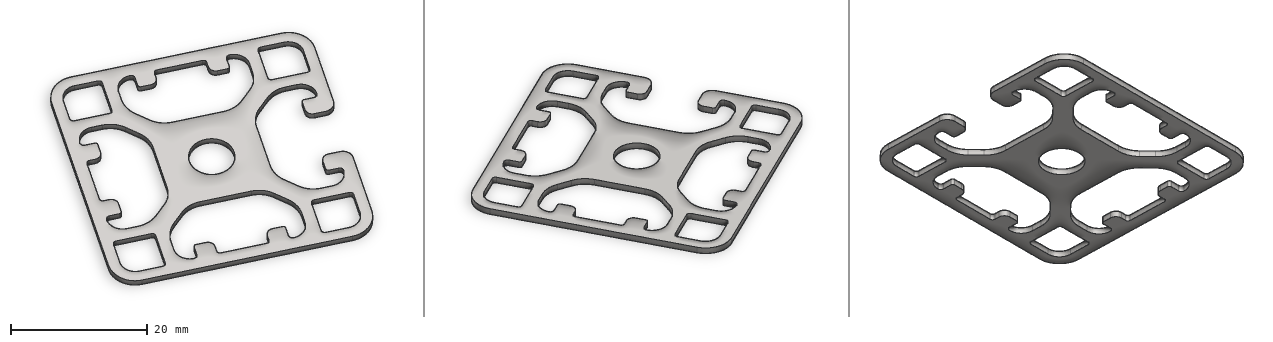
import cadquery as cq
import math

side = 40.0
thickness = 1.0
outer_radius = 4.0
bore_diameter = 6.8
half_side = side / 2
same_point = 4e-07
selection_margin = 0.4

hollow_near = 11.85
hollow_far = 18.25
hollow_outer_radius = 2.3
hollow_radius = 0.5

slot_floor = 7.85
slot_half_width = 9.95
web_offset = 2.1
slanted_wall_radius = 4.4
slot_roof = 18.0
pocket_radius = 2.4
pocket_corner_radius = 0.6

lip_outer_half = slot_half_width - pocket_radius - pocket_corner_radius
mouth_half_width = 3.95
lip_end = 15.5
lip_back_radius = 0.4
lip_front_radius = 1.1
lip_root_radius = 0.5
mouth_radius = 1.6


def corner_arc(before, corner, after):
    """Start, middle and end of the arc that rounds a corner given as (x, y, radius)."""
    x, y, radius = corner
    angle_in = math.atan2(before[1] - y, before[0] - x)
    angle_out = math.atan2(after[1] - y, after[0] - x)
    half_angle = abs(math.remainder(angle_out - angle_in, math.tau)) / 2
    bisector = angle_in + math.remainder(angle_out - angle_in, math.tau) / 2
    setback = radius / math.tan(half_angle)
    middle = radius / math.sin(half_angle) - radius
    return [
        (x + distance * math.cos(angle), y + distance * math.sin(angle))
        for distance, angle in ((setback, angle_in), (middle, bisector), (setback, angle_out))
    ]


def rounded_prism(corners):
    """Plate-thick prism on a closed outline of (x, y, radius) corners."""
    count = len(corners)
    arcs = [corner_arc(corners[i - 1], corners[i], corners[(i + 1) % count]) for i in range(count)]
    outline = cq.Workplane("XY").moveTo(*arcs[0][0])
    position = arcs[0][0]
    for start, middle, end in arcs:
        if math.dist(position, start) > same_point:
            outline = outline.lineTo(*start)
        outline = outline.threePointArc(middle, end)
        position = end
    return outline.close().extrude(thickness)


def mirrored(right_half):
    """Full outline from its +X half, listed from one end to the other."""
    return right_half + [(-x, y, radius) for x, y, radius in reversed(right_half)]


def slot():
    """Closed T-slot behind the +Y side."""
    return rounded_prism(mirrored([
        (slot_floor - web_offset, slot_floor, slanted_wall_radius),
        (slot_half_width, slot_half_width + web_offset, slanted_wall_radius),
        (slot_half_width, slot_roof, pocket_radius),
        (lip_outer_half, slot_roof, pocket_corner_radius),
        (lip_outer_half, lip_end, lip_back_radius),
        (mouth_half_width, lip_end, lip_front_radius),
        (mouth_half_width, slot_roof, lip_root_radius),
    ]))


def corner_hollow():
    """Hollow in the +X +Y corner."""
    return rounded_prism([
        (hollow_near, hollow_near, hollow_radius),
        (hollow_far, hollow_near, hollow_radius),
        (hollow_far, hollow_far, hollow_outer_radius),
        (hollow_near, hollow_far, hollow_radius),
    ])


def slot_mouth():
    """Opening that joins the +Y slot to the outside."""
    mouth_depth = half_side - lip_end - lip_front_radius
    return (
        cq.Workplane("XY")
        .center(0, half_side - mouth_depth / 2)
        .rect(2 * mouth_half_width, mouth_depth)
        .extrude(thickness)
    )


plate = cq.Workplane("XY").rect(side, side).extrude(thickness).edges("|Z").fillet(outer_radius)
plate = plate.cut(cq.Workplane("XY").circle(bore_diameter / 2).extrude(thickness))

for quarter_turn in (0, 90, 180, 270):
    for cutter in (slot(), corner_hollow()):
        plate = plate.cut(cutter.rotate((0, 0, 0), (0, 0, 1), quarter_turn))

plate = plate.cut(slot_mouth())
mouth_edges = cq.selectors.BoxSelector(
    (-mouth_half_width - selection_margin, half_side - selection_margin, -selection_margin),
    (mouth_half_width + selection_margin, half_side + selection_margin, thickness + selection_margin),
)
result = plate.edges("|Z").edges(mouth_edges).fillet(mouth_radius)